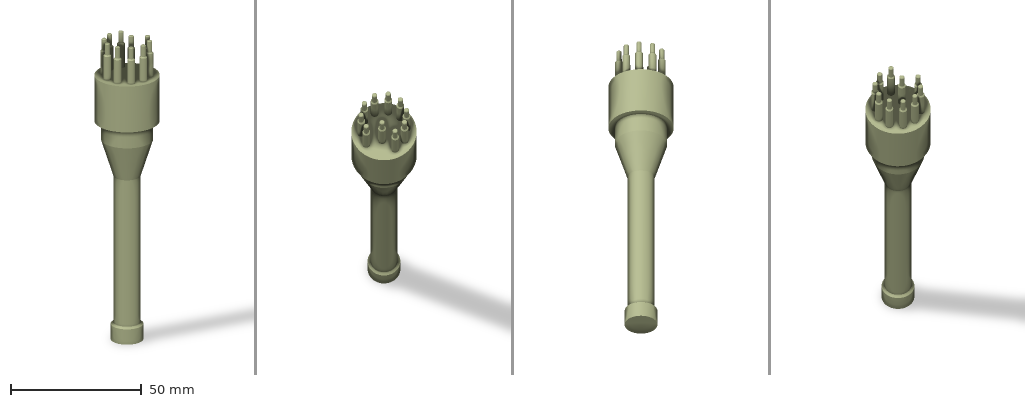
import cadquery as cq
import math

collar_diameter = 12.5
tube_diameter = 10.5
neck_diameter = 20.0
head_diameter = 25.0

total_height = 123.0
collar_height = 7.0
collar_bevel_height = 0.7
cone_bottom = 67.0
cone_height = 15.0
neck_height = 7.5
head_height = 18.8

neck_bottom = cone_bottom + cone_height
head_bottom = neck_bottom + neck_height
head_top = head_bottom + head_height

pin_diameter = 3.0
tip_diameter = 2.0
tip_length = 4.5
tip_chamfer = 0.2
pin_circle_radius = 8.7
ring_pin_count = 9
first_pin_angle = 50.0
pin_pitch_angle = 35.0
inner_pin_offset = 3.9

shoulder_chamfer = (pin_diameter - tip_diameter) / 2
shoulder_height = total_height - tip_length - head_top


def make_body():
    """Collar, tube, cone, neck and head revolved as one profile."""
    collar_radius = collar_diameter / 2
    tube_radius = tube_diameter / 2
    neck_radius = neck_diameter / 2
    head_radius = head_diameter / 2
    profile = (
        cq.Workplane("XZ")
        .lineTo(collar_radius, 0)
        .lineTo(collar_radius, collar_height - collar_bevel_height)
        .lineTo(tube_radius, collar_height)
        .lineTo(tube_radius, cone_bottom)
        .lineTo(neck_radius, neck_bottom)
        .lineTo(neck_radius, head_bottom)
        .lineTo(head_radius, head_bottom)
        .lineTo(head_radius, head_top)
        .lineTo(0, head_top)
        .close()
    )
    return profile.revolve(360, (0, 0, 0), (0, 1, 0))


def pin_positions():
    """One inner pin, then the ring of pins running clockwise."""
    positions = [(0, inner_pin_offset)]
    for index in range(ring_pin_count):
        angle = math.radians(first_pin_angle - index * pin_pitch_angle)
        x = pin_circle_radius * math.cos(angle)
        y = pin_circle_radius * math.sin(angle)
        positions.append((x, y))
    return positions


def make_pins():
    """Pins with a shoulder chamfered down to a thinner, chamfered tip."""
    head_plane = cq.Workplane("XY").workplane(offset=head_top)
    shanks = (
        head_plane.pushPoints(pin_positions())
        .circle(pin_diameter / 2)
        .extrude(shoulder_height)
        .faces(">Z")
        .edges()
        .chamfer(shoulder_chamfer)
    )
    tips = (
        head_plane.pushPoints(pin_positions())
        .circle(tip_diameter / 2)
        .extrude(shoulder_height + tip_length)
        .faces(">Z")
        .edges()
        .chamfer(tip_chamfer)
    )
    return shanks.union(tips)


result = make_body().union(make_pins())